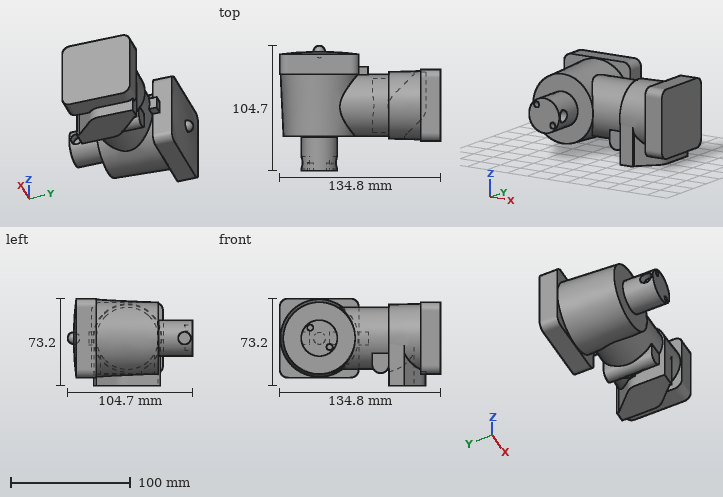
import cadquery as cq
import math


branch_radius = 26.0
barrel_front = -branch_radius
barrel_rear = branch_radius
barrel_front_radius = 30.0
barrel_rear_radius = 32.5
branch_end = 58.2
tab_width = 13.7
tab_top = -12.7
tab_bottom = -29.4
tab_half_depth = math.sqrt(branch_radius**2 - tab_top**2)
rear_boss_right = 41.0
rear_boss_rear = 32.3
rear_boss_height = 10.8

plate_thickness = 16.7
plate_corner_radius = 7.0
cap_size = 66.3
dome_radius = 32.5
dome_height = 2.2
button_radius = 5.0
cap_rear = barrel_rear + plate_thickness
dome_top = cap_rear + dome_height

shaft_radius = 15.1
shaft_end = -54.8
shaft_gap = 0.5
cross_hole_radius = 5.3
cross_hole_y = -48.0
cross_hole_depth = 6.7
pin_hole_radius = 2.5
pin_hole_depth = 6.7
pin_hole_places = [(-7.5, 8.8), (8.6, -7.4)]

flange_size = 60.1
flange_start = 84.9
sleeve_start_radius = 28.2
sleeve_end_radius = 28.8
foot_bottom = -40.0
foot_front = -27.7
foot_rear = sleeve_start_radius
foot_right = 89.0
foot_leg_width = 12.8
foot_front_step = -25.7
foot_left_corner_y = 5.3
foot_rear_step = 26.0
foot_fillet = 13.3


def y_plane(y):
    """Plane across the barrel axis, facing +Y."""
    return cq.Plane(origin=(0, y, 0), xDir=(-1, 0, 0), normal=(0, 1, 0))


def x_plane(x):
    """Plane across the branch axis, facing +X."""
    return cq.Plane(origin=(x, 0, 0), xDir=(0, 1, 0), normal=(1, 0, 0))


def square_plate(plane, size):
    """Square plate with rounded corners, extruded along the plane normal."""
    plate = cq.Workplane(plane).rect(size, size).extrude(plate_thickness)
    along_normal = cq.selectors.ParallelDirSelector(plane.zDir)
    return plate.edges(along_normal).fillet(plate_corner_radius)


def make_housing():
    barrel = (
        cq.Workplane("XY")
        .polyline([
            (0, barrel_front),
            (barrel_front_radius, barrel_front),
            (barrel_rear_radius, barrel_rear),
            (0, barrel_rear),
        ])
        .close()
        .revolve(360, (0, 0), (0, 1))
    )
    branch = cq.Workplane(x_plane(0)).circle(branch_radius).extrude(branch_end)

    tab_left = branch_end - tab_width
    tab_round_z = tab_bottom + tab_width / 2
    tab = (
        cq.Workplane("XZ")
        .moveTo(tab_left, tab_top)
        .lineTo(tab_left, tab_round_z)
        .threePointArc((branch_end - tab_width / 2, tab_bottom), (branch_end, tab_round_z))
        .lineTo(branch_end, tab_top)
        .close()
        .extrude(tab_half_depth, both=True)
    )

    rear_boss_left = cap_size / 2
    rear_boss_width = rear_boss_right - rear_boss_left
    rear_boss = (
        cq.Workplane("XY", origin=(rear_boss_left, 0, 0))
        .box(rear_boss_width, rear_boss_rear, rear_boss_height, centered=(False, False, True))
    )
    return barrel.union(branch).union(tab).union(rear_boss)


def make_cap():
    plate = square_plate(y_plane(barrel_rear), cap_size)
    dome = (
        cq.Workplane("XY")
        .moveTo(0, cap_rear)
        .lineTo(dome_radius, cap_rear)
        .radiusArc((0, dome_top), -(dome_radius**2 + dome_height**2) / (2 * dome_height))
        .close()
        .revolve(360, (0, 0), (0, 1))
    )
    return plate.union(dome)


def make_button():
    """Ball set into the top of the dome."""
    return cq.Workplane("XY").sphere(button_radius).translate((0, dome_top, 0))


def make_shaft():
    """Stub shaft standing just clear of the barrel face, with blind holes in its sides and end."""
    shaft_length = barrel_front - shaft_gap - shaft_end
    shaft = cq.Workplane(y_plane(shaft_end)).circle(shaft_radius).extrude(shaft_length)
    for side in (-1, 1):
        cross_hole = (
            cq.Workplane("YZ", origin=(side * shaft_radius, cross_hole_y, 0))
            .circle(cross_hole_radius)
            .extrude(-side * cross_hole_depth)
        )
        shaft = shaft.cut(cross_hole)
    pin_holes = (
        cq.Workplane("XZ", origin=(0, shaft_end, 0))
        .pushPoints(pin_hole_places)
        .circle(pin_hole_radius)
        .extrude(-pin_hole_depth)
    )
    return shaft.cut(pin_holes)


def make_foot():
    """Upright S-shaped block: two end legs joined by faces at 45 degrees."""
    front_leg_right = branch_end + foot_leg_width
    right_corner_y = foot_front_step + foot_right - front_leg_right
    rear_leg_left = branch_end + foot_rear_step - foot_left_corner_y
    foot = (
        cq.Workplane("XY", origin=(0, 0, foot_bottom))
        .polyline([
            (branch_end, foot_front),
            (front_leg_right, foot_front),
            (front_leg_right, foot_front_step),
            (foot_right, right_corner_y),
            (foot_right, foot_rear),
            (rear_leg_left, foot_rear),
            (rear_leg_left, foot_rear_step),
            (branch_end, foot_left_corner_y),
        ])
        .close()
        .extrude(-foot_bottom)
    )
    for corner in [(foot_right, right_corner_y), (branch_end, foot_left_corner_y)]:
        middle = (*corner, foot_bottom / 2)
        foot = foot.edges(cq.selectors.NearestToPointSelector(middle)).fillet(foot_fillet)
    return foot


def make_end_bracket():
    sleeve = (
        cq.Workplane("XY")
        .polyline([
            (branch_end, 0),
            (branch_end, sleeve_start_radius),
            (flange_start, sleeve_end_radius),
            (flange_start, 0),
        ])
        .close()
        .revolve(360, (0, 0), (1, 0))
    )
    flange = square_plate(x_plane(flange_start), flange_size)
    return sleeve.union(flange).union(make_foot())


button = make_button()
cap = make_cap().cut(button)
housing = make_housing()
shaft = make_shaft()
end_bracket = make_end_bracket()

result = cq.Compound.makeCompound([
    housing.val(),
    cap.val(),
    button.val(),
    shaft.val(),
    end_bracket.val(),
])